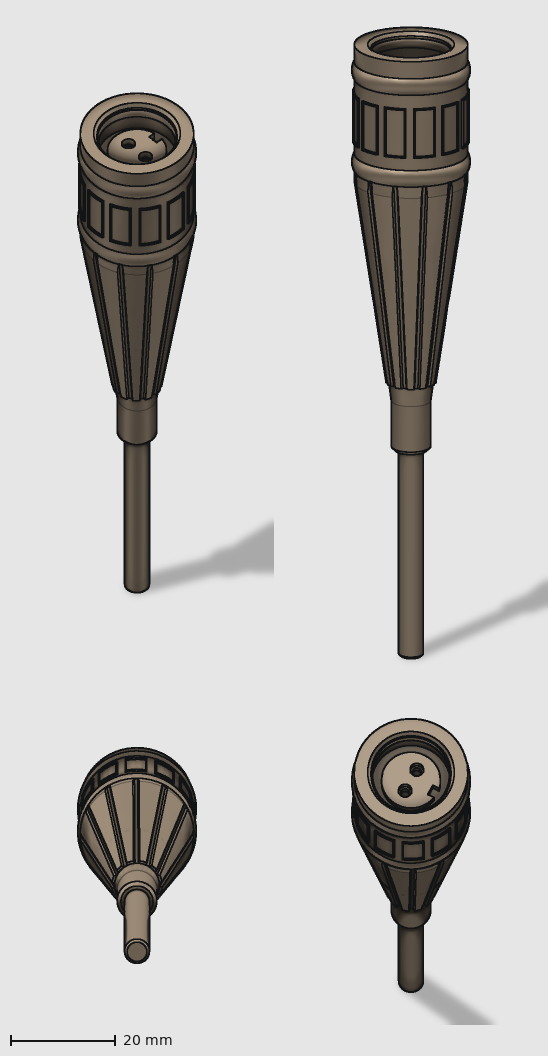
import cadquery as cq
import math

TOTAL_LENGTH = 122.3

BODY_RADIUS = 21.6 / 2
BEAD_RADIUS = 22.6 / 2
BEAD_HEIGHT = 3.3
UPPER_BEAD_BOTTOM = 115.5
LOWER_BEAD_BOTTOM = 97.2

GRIP_COUNT = 12
FRAME_WIDTH = 4.2
FRAME_HEIGHT = 9.8
FRAME_CENTRE_Z = 108.0
FRAME_RIM_WIDTH = 0.2
FRAME_RADIUS = 11.1

TAPER_TOP_Z = 95.0
TAPER_BOTTOM_Z = 54.8
TAPER_BOTTOM_RADIUS = 4.8
TAPER_RISE = TAPER_TOP_Z - TAPER_BOTTOM_Z
TAPER_SPREAD = BODY_RADIUS - TAPER_BOTTOM_RADIUS
GROOVE_COUNT = 12
GROOVE_TOP_WIDTH = 1.2
GROOVE_FLOOR_WIDTH = 0.6
GROOVE_DEPTH = 0.5
GROOVE_CLEARANCE = 0.4
NECK_BOTTOM_Z = 51.1

SLEEVE_RADIUS = 3.8
SLEEVE_BOTTOM_Z = 41.2
SLEEVE_CHAMFER = 0.7
CABLE_RADIUS = 4.8 / 2
CABLE_CHAMFER = 0.5

MOUTH_RADIUS = 16.5 / 2
LEAD_IN_RADIUS = 15.3 / 2
LEAD_IN_DEPTH = 0.7
LIP_TOP_DEPTH = 1.2
LIP_RADIUS = 14.5 / 2
LIP_BOTTOM_DEPTH = 3.0
SOCKET_RADIUS = 15.0 / 2
SOCKET_DEPTH = 6.1

INSERT_RADIUS = 5.6
INSERT_TOP_DEPTH = 4.5
KEYWAY_WIDTH = 2.1
KEYWAY_FLOOR_Y = 4.2
CONTACT_SPACING = 4.8
CONTACT_MOUTH_DIAMETER = 2.6
CONTACT_MOUTH_DEPTH = 1.5
CONTACT_BORE_DIAMETER = 1.7
CONTACT_BORE_DEPTH = 3.0
CONTACT_TIP_DEPTH = 0.9


def revolve_about_z(profile):
    """Revolve a closed (radius, z) outline around the Z axis."""
    return profile.close().revolve(360, (0, 0, 0), (0, 1, 0))


def make_cable():
    """Cable, sleeve and neck below the boot."""
    profile = (
        cq.Workplane("XZ")
        .lineTo(CABLE_RADIUS - CABLE_CHAMFER, 0)
        .lineTo(CABLE_RADIUS, CABLE_CHAMFER)
        .lineTo(CABLE_RADIUS, SLEEVE_BOTTOM_Z)
        .lineTo(SLEEVE_RADIUS - SLEEVE_CHAMFER, SLEEVE_BOTTOM_Z)
        .lineTo(SLEEVE_RADIUS, SLEEVE_BOTTOM_Z + SLEEVE_CHAMFER)
        .lineTo(SLEEVE_RADIUS, NECK_BOTTOM_Z)
        .lineTo(TAPER_BOTTOM_RADIUS - GROOVE_DEPTH, TAPER_BOTTOM_Z)
        .lineTo(0, TAPER_BOTTOM_Z)
    )
    return revolve_about_z(profile)


def make_boot():
    """Grooved taper with a short straight collar under the lower bead."""
    profile = (
        cq.Workplane("XZ")
        .moveTo(0, TAPER_BOTTOM_Z)
        .lineTo(TAPER_BOTTOM_RADIUS, TAPER_BOTTOM_Z)
        .lineTo(BODY_RADIUS, TAPER_TOP_Z)
        .lineTo(BODY_RADIUS, LOWER_BEAD_BOTTOM)
        .lineTo(0, LOWER_BEAD_BOTTOM)
    )
    boot = revolve_about_z(profile)
    groove = make_groove()
    for index in range(GROOVE_COUNT):
        boot = boot.cut(groove.rotate((0, 0, 0), (0, 0, 1), index * 360 / GROOVE_COUNT))
    return boot


def make_body():
    """Turned body with two rounded beads."""
    upper_bead_top = UPPER_BEAD_BOTTOM + BEAD_HEIGHT
    lower_bead_top = LOWER_BEAD_BOTTOM + BEAD_HEIGHT
    profile = (
        cq.Workplane("XZ")
        .moveTo(0, LOWER_BEAD_BOTTOM)
        .lineTo(BODY_RADIUS, LOWER_BEAD_BOTTOM)
        .threePointArc(
            (BEAD_RADIUS, LOWER_BEAD_BOTTOM + BEAD_HEIGHT / 2), (BODY_RADIUS, lower_bead_top)
        )
        .lineTo(BODY_RADIUS, UPPER_BEAD_BOTTOM)
        .threePointArc(
            (BEAD_RADIUS, UPPER_BEAD_BOTTOM + BEAD_HEIGHT / 2), (BODY_RADIUS, upper_bead_top)
        )
        .lineTo(BODY_RADIUS, TOTAL_LENGTH)
        .lineTo(0, TOTAL_LENGTH)
    )
    return revolve_about_z(profile)


def make_socket():
    """Bore with a tapered lead-in and a rounded inner lip."""
    lip_top = TOTAL_LENGTH - LIP_TOP_DEPTH
    lip_bottom = TOTAL_LENGTH - LIP_BOTTOM_DEPTH
    floor = TOTAL_LENGTH - SOCKET_DEPTH
    profile = (
        cq.Workplane("XZ")
        .moveTo(0, TOTAL_LENGTH)
        .lineTo(MOUTH_RADIUS, TOTAL_LENGTH)
        .lineTo(LEAD_IN_RADIUS, TOTAL_LENGTH - LEAD_IN_DEPTH)
        .lineTo(LEAD_IN_RADIUS, lip_top)
        .lineTo(SOCKET_RADIUS, lip_top)
        .threePointArc((LIP_RADIUS, (lip_top + lip_bottom) / 2), (SOCKET_RADIUS, lip_bottom))
        .lineTo(SOCKET_RADIUS, floor)
        .lineTo(0, floor)
    )
    return revolve_about_z(profile)


def make_contact_hole():
    """Stepped contact hole with a conical bottom, opening at z = 0."""
    bore_radius = CONTACT_BORE_DIAMETER / 2
    profile = (
        cq.Workplane("XZ")
        .lineTo(CONTACT_MOUTH_DIAMETER / 2, 0)
        .lineTo(CONTACT_MOUTH_DIAMETER / 2, -CONTACT_MOUTH_DEPTH)
        .lineTo(bore_radius, -CONTACT_MOUTH_DEPTH)
        .lineTo(bore_radius, -CONTACT_BORE_DEPTH)
        .lineTo(0, -CONTACT_BORE_DEPTH - CONTACT_TIP_DEPTH)
    )
    return revolve_about_z(profile)


def make_insert():
    """Round insert with a keyway on its +Y side."""
    height = SOCKET_DEPTH - INSERT_TOP_DEPTH
    floor = TOTAL_LENGTH - SOCKET_DEPTH
    insert = cq.Workplane("XY", origin=(0, 0, floor)).circle(INSERT_RADIUS).extrude(height)
    keyway = (
        cq.Workplane("XY")
        .box(KEYWAY_WIDTH, INSERT_RADIUS, height, centered=(True, False, False))
        .translate((0, KEYWAY_FLOOR_Y, floor))
    )
    return insert.cut(keyway)


def make_grip_frame():
    """Raised rectangular rim on the -Y side of the body."""
    plate = cq.Workplane("XZ", origin=(0, 0, FRAME_CENTRE_Z))
    inner_width = FRAME_WIDTH - 2 * FRAME_RIM_WIDTH
    inner_height = FRAME_HEIGHT - 2 * FRAME_RIM_WIDTH
    rim = (
        plate.rect(FRAME_WIDTH, FRAME_HEIGHT)
        .rect(inner_width, inner_height)
        .extrude(FRAME_RADIUS)
    )
    shell = (
        cq.Workplane("XY", origin=(0, 0, FRAME_CENTRE_Z - FRAME_HEIGHT / 2))
        .circle(FRAME_RADIUS)
        .circle(BODY_RADIUS - FRAME_RIM_WIDTH)
        .extrude(FRAME_HEIGHT)
    )
    return rim.intersect(shell)


def make_groove():
    """Groove cutter with sloped sides, lying along the -Y side of the taper."""
    side_slope = (GROOVE_TOP_WIDTH - GROOVE_FLOOR_WIDTH) / 2 / GROOVE_DEPTH
    outer_half_width = GROOVE_TOP_WIDTH / 2 + side_slope * GROOVE_CLEARANCE
    across_taper = cq.Plane(
        origin=(0, -TAPER_BOTTOM_RADIUS, TAPER_BOTTOM_Z),
        xDir=(1, 0, 0),
        normal=(0, -TAPER_SPREAD, TAPER_RISE),
    )
    slant = math.hypot(TAPER_RISE, TAPER_SPREAD)
    length = slant * (LOWER_BEAD_BOTTOM - TAPER_BOTTOM_Z) / TAPER_RISE
    return (
        cq.Workplane(across_taper)
        .moveTo(-outer_half_width, -GROOVE_CLEARANCE)
        .lineTo(outer_half_width, -GROOVE_CLEARANCE)
        .lineTo(GROOVE_FLOOR_WIDTH / 2, GROOVE_DEPTH)
        .lineTo(-GROOVE_FLOOR_WIDTH / 2, GROOVE_DEPTH)
        .close()
        .extrude(length, both=True)
    )


result = make_cable().union(make_boot()).union(make_body())
result = result.cut(make_socket()).union(make_insert())

for side in (-1, 1):
    hole_top = (side * CONTACT_SPACING / 2, 0, TOTAL_LENGTH - INSERT_TOP_DEPTH)
    result = result.cut(make_contact_hole().translate(hole_top))

grip_frame = make_grip_frame()
for index in range(GRIP_COUNT):
    result = result.union(grip_frame.rotate((0, 0, 0), (0, 0, 1), index * 360 / GRIP_COUNT))